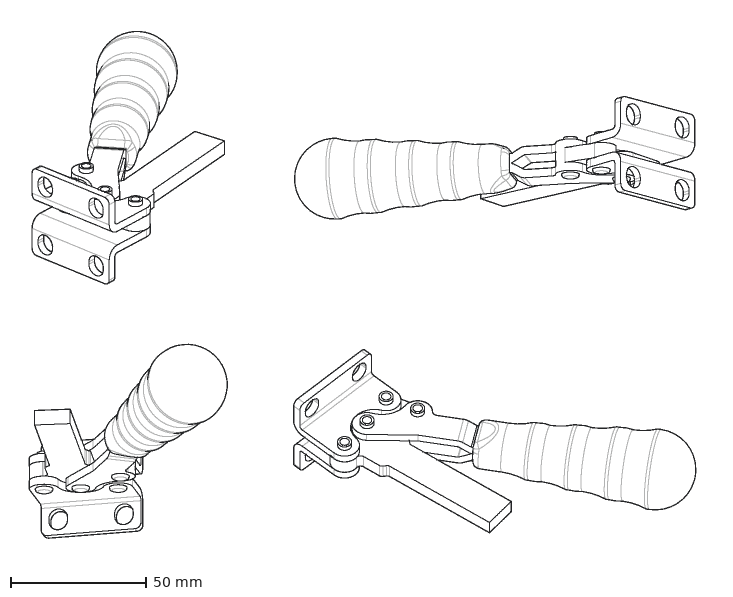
import cadquery as cq
import math


HALF_GAP = 2.85
SHEET = 3.2
HALF_STACK = HALF_GAP + SHEET

BASE_LENGTH = 38.0
BASE_HALF_WIDTH = 18.105
BEND_INNER_RADIUS = 1.3
BEND_OUTER_RADIUS = BEND_INNER_RADIUS + SHEET
FLANGE_CORNER_RADIUS = 2.3
BASE_VALLEY_RADIUS = 8.8
SLOT_WIDTH = 7.0
SLOT_LENGTH = 8.0
SLOT_SPACING = 25.0
SLOT_HEIGHT = 12.1

LOBE_RADIUS = 5.5
INNER_LOBE_RADIUS = LOBE_RADIUS - 0.05
LINK_BASE_PIVOT = (LOBE_RADIUS, 16.1)
ARM_BASE_PIVOT = (BASE_LENGTH - LOBE_RADIUS, 21.0)
LINK_HANDLE_PIVOT = (1.6, 28.6)
ARM_HANDLE_PIVOT = (18.95, 19.35)
PIVOTS = [LINK_BASE_PIVOT, ARM_BASE_PIVOT, LINK_HANDLE_PIVOT, ARM_HANDLE_PIVOT]

RIVET_TOP_RADIUS = 2.6
RIVET_TOP_HEIGHT = 1.85
RIVET_RECESS_RADIUS = 1.75
RIVET_RECESS_DEPTH = 3.0
RIVET_FOOT_RADIUS = 3.3
RIVET_FOOT_HEIGHT = 1.05
RIVET_FOOT_ROUNDING = 1.0

BAR_LEFT = -3.7
BAR_RIGHT = 9.6
BAR_TOP = 64.3
STEP_TOP = 17.2
STEP_BOTTOM = 15.4
STEP_WIDTH = 2.0
STEP_RADIUS = 1.5
ARM_LOBE_FILLET = 1.8

BALL_RADIUS = 15.0
BALL_CENTRE = (-43.03, 107.86)
HANDLE_SLOPE = 56.85

RIDGE_COUNT = 4
RIDGE_PITCH = 15.4
RIDGE_FLAT = 1.2
RIDGE_TAPER = 1.4
DIP_LENGTH = 10.3
DIP_DEPTH = 1.6
DIP_MIDDLE = 5.6
DIP_MIDDLE_DEPTH = 1.2
SWELL_RISE = 0.25
TIP_START = (RIDGE_COUNT - 1) * RIDGE_PITCH + DIP_LENGTH
TIP_RADIUS = BALL_RADIUS - (RIDGE_COUNT - 1) * RIDGE_TAPER - DIP_DEPTH
TIP_SPARE = 5.0
GRIP_END = 67.6
GRIP_END_FILLET = 2.6
CHEEK_START = 59.8
CHEEK_ANGLE = 24.0
CHEEK_FILLET = 3.0

SHANK_HALF_WIDTH = 5.55
SHANK_START = 60.0
SHANK_STRAIGHT_END = 88.3
FORK_BEND = 72.4
FORK_ANGLE = 30.0
FORK_INNER_RADIUS = 0.5
FORK_OUTER_RADIUS = FORK_INNER_RADIUS + SHEET
HANDLE_VALLEY_RADIUS = 10.6
NECK_FILLET = 2.0

handle_direction = (math.cos(math.radians(HANDLE_SLOPE)), -math.sin(math.radians(HANDLE_SLOPE)), 0)
handle_plane = cq.Plane(origin=(*BALL_CENTRE, 0), xDir=handle_direction, normal=(0, 0, 1))
handle_side_plane = cq.Plane(handle_plane.origin, handle_plane.xDir, handle_plane.yDir * -1)


def slab(outline, half_thickness):
    """Extrude an outline equally to both sides of its plane."""
    return outline.extrude(half_thickness, both=True)


def disc(centre, radius, half_thickness, plane="XY"):
    return slab(cq.Workplane(plane).center(*centre).circle(radius), half_thickness)


def block(points, half_thickness, plane="XY"):
    return slab(cq.Workplane(plane).polyline(points).close(), half_thickness)


def tangent_centre(first, second, radius):
    """Centre, on the right of first-to-second, of a circle touching both lobes from outside."""
    dx, dy = second[0] - first[0], second[1] - first[1]
    span = math.hypot(dx, dy)
    offset = math.sqrt((LOBE_RADIUS + radius) ** 2 - (span / 2) ** 2)
    middle_x, middle_y = (first[0] + second[0]) / 2, (first[1] + second[1]) / 2
    return middle_x + offset * dy / span, middle_y - offset * dx / span


def fillet_at(solid, plane, corners, radius):
    """Round the edges of a slab that stand on the given corners of its plane."""
    for corner in corners:
        place = plane.toWorldCoords(corner).toTuple()
        solid = solid.edges(cq.selectors.NearestToPointSelector(place)).fillet(radius)
    return solid


def make_base():
    """Two mirrored angle brackets, each with a two-lobed web and a slotted flange."""
    flange_profile = (
        cq.Workplane("YZ")
        .moveTo(0, BASE_HALF_WIDTH)
        .lineTo(0, HALF_GAP + BEND_OUTER_RADIUS)
        .radiusArc((BEND_OUTER_RADIUS, HALF_GAP), -BEND_OUTER_RADIUS)
        .lineTo(BEND_OUTER_RADIUS, HALF_STACK)
        .radiusArc((SHEET, HALF_STACK + BEND_INNER_RADIUS), BEND_INNER_RADIUS)
        .lineTo(SHEET, BASE_HALF_WIDTH)
        .close()
    )
    flange = flange_profile.extrude(BASE_LENGTH)
    flange = flange.faces(">Z").edges("|Y").fillet(FLANGE_CORNER_RADIUS)
    for side in (-1, 1):
        slot_x = (BASE_LENGTH + side * SLOT_SPACING) / 2
        slot = (
            cq.Workplane("XZ", origin=(slot_x, 0, SLOT_HEIGHT))
            .slot2D(SLOT_LENGTH, SLOT_WIDTH, 90)
            .extrude(-SHEET)
        )
        flange = flange.cut(slot)

    valley = tangent_centre(ARM_BASE_PIVOT, LINK_BASE_PIVOT, BASE_VALLEY_RADIUS)
    web_points = [
        (0, BEND_OUTER_RADIUS),
        (BASE_LENGTH, BEND_OUTER_RADIUS),
        (BASE_LENGTH, ARM_BASE_PIVOT[1]),
        ARM_BASE_PIVOT,
        valley,
        LINK_BASE_PIVOT,
        (0, LINK_BASE_PIVOT[1]),
    ]
    web = block(web_points, HALF_STACK).cut(disc(valley, BASE_VALLEY_RADIUS, HALF_STACK))
    for pivot in (LINK_BASE_PIVOT, ARM_BASE_PIVOT):
        web = web.union(disc(pivot, LOBE_RADIUS, HALF_STACK))
    web = web.cut(cq.Workplane("XY").box(4 * BASE_LENGTH, 4 * BASE_LENGTH, 2 * HALF_GAP))
    return web.union(flange).union(flange.mirror("XY"))


def make_link():
    """Straight link with a full round about each of its two pivots."""
    dx = LINK_BASE_PIVOT[0] - LINK_HANDLE_PIVOT[0]
    dy = LINK_BASE_PIVOT[1] - LINK_HANDLE_PIVOT[1]
    middle_x = (LINK_BASE_PIVOT[0] + LINK_HANDLE_PIVOT[0]) / 2
    middle_y = (LINK_BASE_PIVOT[1] + LINK_HANDLE_PIVOT[1]) / 2
    length = math.hypot(dx, dy) + 2 * INNER_LOBE_RADIUS
    direction = math.degrees(math.atan2(dy, dx))
    outline = cq.Workplane("XY").center(middle_x, middle_y).slot2D(length, 2 * INNER_LOBE_RADIUS, direction)
    return slab(outline, HALF_GAP)


def make_arm():
    """Bar at right angles to the line through its two pivots, stepped wider at its foot."""
    dx = ARM_BASE_PIVOT[0] - ARM_HANDLE_PIVOT[0]
    dy = ARM_BASE_PIVOT[1] - ARM_HANDLE_PIVOT[1]
    span = math.hypot(dx, dy)
    plane = cq.Plane(origin=(*ARM_HANDLE_PIVOT, 0), xDir=(dx, dy, 0), normal=(0, 0, 1))
    foot_left = -INNER_LOBE_RADIUS
    foot_right = BAR_RIGHT + STEP_WIDTH
    lobe_diagonal = -INNER_LOBE_RADIUS * math.sqrt(0.5)
    outline = (
        cq.Workplane(plane)
        .moveTo(0, -INNER_LOBE_RADIUS)
        .lineTo(span, -INNER_LOBE_RADIUS)
        .threePointArc((span + INNER_LOBE_RADIUS, 0), (span, INNER_LOBE_RADIUS))
        .lineTo(foot_right, INNER_LOBE_RADIUS)
        .lineTo(foot_right, STEP_BOTTOM)
        .lineTo(BAR_RIGHT, STEP_TOP)
        .lineTo(BAR_RIGHT, BAR_TOP)
        .lineTo(BAR_LEFT, BAR_TOP)
        .lineTo(BAR_LEFT, STEP_TOP)
        .lineTo(foot_left, STEP_BOTTOM)
        .lineTo(foot_left, 0)
        .threePointArc((lobe_diagonal, lobe_diagonal), (0, -INNER_LOBE_RADIUS))
        .close()
    )
    arm = slab(outline, HALF_GAP)
    step_corners = [
        (BAR_RIGHT, STEP_TOP),
        (BAR_LEFT, STEP_TOP),
        (foot_right, STEP_BOTTOM),
        (foot_left, STEP_BOTTOM),
    ]
    arm = fillet_at(arm, plane, step_corners, STEP_RADIUS)
    return fillet_at(arm, plane, [(foot_right, INNER_LOBE_RADIUS)], ARM_LOBE_FILLET)


def on_handle(pivot):
    """Position of a pivot along and across the handle axis."""
    local = handle_plane.toLocalCoords(cq.Vector(*pivot, 0))
    return local.x, local.y


def make_fork():
    """Two handle plates, parallel at the pivots and bent together where they enter the grip."""
    link_lobe = on_handle(LINK_HANDLE_PIVOT)
    arm_lobe = on_handle(ARM_HANDLE_PIVOT)
    valley = tangent_centre(link_lobe, arm_lobe, HANDLE_VALLEY_RADIUS)

    dx = arm_lobe[0] - SHANK_STRAIGHT_END
    dy = arm_lobe[1] - SHANK_HALF_WIDTH
    edge_angle = math.atan2(dy, dx) + math.asin(LOBE_RADIUS / math.hypot(dx, dy))
    tangent_point = (
        arm_lobe[0] - LOBE_RADIUS * math.sin(edge_angle),
        arm_lobe[1] + LOBE_RADIUS * math.cos(edge_angle),
    )
    body_points = [
        (SHANK_START, -SHANK_HALF_WIDTH),
        (link_lobe[0], -SHANK_HALF_WIDTH),
        link_lobe,
        valley,
        arm_lobe,
        tangent_point,
        (SHANK_STRAIGHT_END, SHANK_HALF_WIDTH),
        (SHANK_START, SHANK_HALF_WIDTH),
    ]
    plates = block(body_points, HALF_STACK, handle_plane)
    plates = plates.cut(disc(valley, HANDLE_VALLEY_RADIUS, HALF_STACK, handle_plane))
    for lobe in (link_lobe, arm_lobe):
        plates = plates.union(disc(lobe, LOBE_RADIUS, HALF_STACK, handle_plane))
    neck_reach = math.sqrt(LOBE_RADIUS**2 - (link_lobe[1] + SHANK_HALF_WIDTH) ** 2)
    neck = (link_lobe[0] - neck_reach, -SHANK_HALF_WIDTH)
    plates = fillet_at(plates, handle_plane, [neck], NECK_FILLET)

    slope = math.tan(math.radians(FORK_ANGLE))
    fork_end = arm_lobe[0] + 2 * LOBE_RADIUS
    gap_bend = FORK_BEND + SHEET * math.tan(math.radians(FORK_ANGLE / 2))
    gap_tip = gap_bend - HALF_GAP / slope
    shank_half = HALF_STACK - (FORK_BEND - gap_tip) * slope
    envelope_points = [
        (SHANK_START, -shank_half),
        (gap_tip, -shank_half),
        (FORK_BEND, -HALF_STACK),
        (fork_end, -HALF_STACK),
        (fork_end, HALF_STACK),
        (FORK_BEND, HALF_STACK),
        (gap_tip, shank_half),
        (SHANK_START, shank_half),
    ]
    gap_points = [
        (gap_tip, 0),
        (gap_bend, -HALF_GAP),
        (fork_end, -HALF_GAP),
        (fork_end, HALF_GAP),
        (gap_bend, HALF_GAP),
    ]
    envelope = block(envelope_points, 4 * LOBE_RADIUS, handle_side_plane)
    outer_bends = [(FORK_BEND, -HALF_STACK), (FORK_BEND, HALF_STACK)]
    envelope = fillet_at(envelope, handle_side_plane, outer_bends, FORK_OUTER_RADIUS)
    gap = block(gap_points, 4 * LOBE_RADIUS, handle_side_plane)
    inner_bends = [(gap_bend, -HALF_GAP), (gap_bend, HALF_GAP)]
    gap = fillet_at(gap, handle_side_plane, inner_bends, FORK_INNER_RADIUS)
    forked = plates.intersect(envelope).cut(gap)
    return forked.union(disc(LINK_HANDLE_PIVOT, LOBE_RADIUS, HALF_STACK))


def make_grip_body():
    """Ball end and the ridges and dips behind it, turned about the handle axis."""
    ball_diagonal = BALL_RADIUS * math.sqrt(0.5)
    outline = (
        cq.Workplane(handle_plane)
        .moveTo(-BALL_RADIUS, 0)
        .threePointArc((-ball_diagonal, ball_diagonal), (0, BALL_RADIUS))
    )
    for ridge in range(RIDGE_COUNT):
        start = ridge * RIDGE_PITCH
        radius = BALL_RADIUS - ridge * RIDGE_TAPER
        if ridge > 0:
            swell_middle = (
                start - (RIDGE_PITCH - DIP_LENGTH) / 2,
                radius - (DIP_DEPTH - RIDGE_TAPER) / 2 + SWELL_RISE,
            )
            outline = outline.threePointArc(swell_middle, (start, radius))
        outline = outline.lineTo(start + RIDGE_FLAT, radius).threePointArc(
            (start + DIP_MIDDLE, radius - DIP_MIDDLE_DEPTH), (start + DIP_LENGTH, radius - DIP_DEPTH)
        )
    return outline.lineTo(TIP_START, 0).close().revolve(360, (0, 0, 0), (1, 0, 0))


def make_grip_tip():
    """Round tip with tapered cheeks above and below and a rounded end."""
    tip_plane = cq.Plane(
        handle_plane.toWorldCoords((TIP_START, 0, 0)), handle_plane.yDir, handle_plane.xDir
    )
    blank_end = GRIP_END + TIP_SPARE
    blank = cq.Workplane(tip_plane).circle(TIP_RADIUS).extrude(blank_end - TIP_START)
    fall = (blank_end - CHEEK_START) * math.tan(math.radians(CHEEK_ANGLE))
    outside = 2 * TIP_RADIUS
    wedge_points = [
        (CHEEK_START, TIP_RADIUS),
        (blank_end, TIP_RADIUS - fall),
        (blank_end, outside),
        (CHEEK_START, outside),
    ]
    wedge = block(wedge_points, outside, handle_side_plane)
    tip = blank.cut(wedge).cut(wedge.mirror("XY"))
    cheek_edges = [edge for edge in tip.edges().vals() if edge.geomType() == "ELLIPSE"]
    tip = cq.Workplane(tip.val().fillet(CHEEK_FILLET, cheek_edges))

    spare = [(GRIP_END, -outside), (blank_end, -outside), (blank_end, outside), (GRIP_END, outside)]
    tip = tip.cut(block(spare, outside, handle_plane))
    end_face = tip.faces(cq.selectors.DirectionMinMaxSelector(cq.Vector(*handle_direction)))
    return end_face.edges().fillet(GRIP_END_FILLET)


def make_rivet(pivot):
    """Riveted pin with a round head above and a rounded foot below, and its head's dimple."""
    reach = HALF_STACK + RIVET_TOP_HEIGHT
    pin = cq.Workplane("XY", origin=(*pivot, 0)).circle(RIVET_TOP_RADIUS).extrude(reach)
    foot = (
        cq.Workplane("XY", origin=(*pivot, 0))
        .circle(RIVET_FOOT_RADIUS)
        .extrude(-HALF_STACK - RIVET_FOOT_HEIGHT)
        .faces("<Z")
        .edges()
        .fillet(RIVET_FOOT_ROUNDING)
    )
    dimple_tip = cq.Vector(*pivot, reach - RIVET_RECESS_DEPTH)
    dimple = cq.Workplane(cq.Solid.makeCone(0, RIVET_RECESS_RADIUS, RIVET_RECESS_DEPTH, dimple_tip))
    return pin.union(foot), dimple


def make_clamp():
    clamp = make_base().union(make_link()).union(make_arm()).union(make_fork())
    clamp = clamp.union(make_grip_tip()).union(make_grip_body())
    rivets = [make_rivet(pivot) for pivot in PIVOTS]
    for pin, _ in rivets:
        clamp = clamp.union(pin)
    for _, dimple in rivets:
        clamp = clamp.cut(dimple)
    return clamp


result = make_clamp()